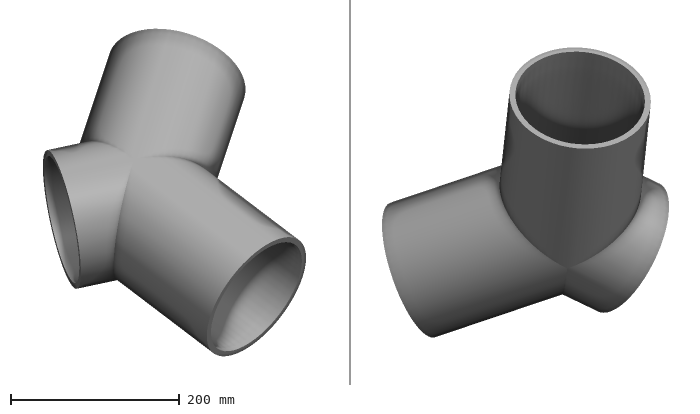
import cadquery as cq
import math

OUTER_DIAMETER = 168.28
BORE_DIAMETER = 154.05

INLET_LENGTH = 88.9
BRANCH_LENGTH = 203.2

INLET_ANGLE = -90
LEG_SPACING = 120
LEGS = [
    (INLET_ANGLE, INLET_LENGTH),
    (INLET_ANGLE + LEG_SPACING, BRANCH_LENGTH),
    (INLET_ANGLE - LEG_SPACING, BRANCH_LENGTH),
]


def mitre_sector(length):
    """Prism around a leg along +X, bounded by the mitre planes shared with its neighbours."""
    half_width = OUTER_DIAMETER
    mitre_reach = half_width / math.tan(math.radians(LEG_SPACING / 2))
    far_end = max(length, mitre_reach) + OUTER_DIAMETER
    outline = [
        (0, 0),
        (mitre_reach, -half_width),
        (far_end, -half_width),
        (far_end, half_width),
        (mitre_reach, half_width),
    ]
    return cq.Workplane("XY").polyline(outline).close().extrude(OUTER_DIAMETER, both=True)


def pipe_leg(angle, length):
    """Straight pipe along the given direction, mitred where it meets the other legs."""
    pipe = (
        cq.Workplane("YZ")
        .circle(OUTER_DIAMETER / 2)
        .circle(BORE_DIAMETER / 2)
        .extrude(length)
    )
    leg = pipe.intersect(mitre_sector(length))
    return leg.rotate((0, 0, 0), (0, 0, 1), angle)


result = cq.Workplane("XY")
for leg_angle, leg_length in LEGS:
    result = result.union(pipe_leg(leg_angle, leg_length))